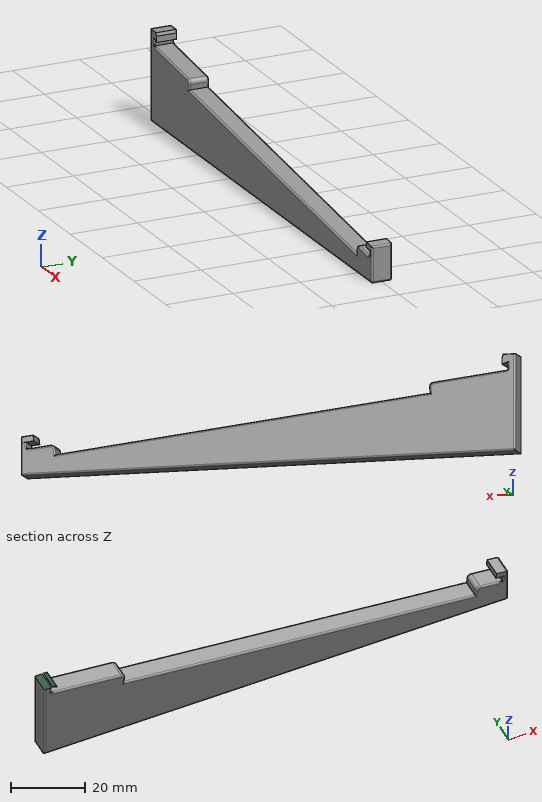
import cadquery as cq
import math

LENGTH = 138.61
WIDTH = 6.0
HEIGHT = 26.5

TILT = 6.34
FALL = math.tan(math.radians(TILT))

LEDGE_START_X = 2.1
LEDGE_START_Z = 22.2
LEDGE_END_X = 24.35

STEP_DEPTH = 2.8
STEP_ROUND = 1.25

PAD_START_X = 128.9
PAD_END_X = 137.0

TALL_HOOK_TOP_X = 3.45
TALL_HOOK_REACH = 3.8
TALL_HOOK_SHOULDER_Z = 25.6
TALL_HOOK_TIP_Z = 23.8
TALL_HOOK_ROOT_Z = 24.3

SHORT_HOOK_TIP_X = 135.2
SHORT_HOOK_TOP_Z = 10.9
SHORT_HOOK_THICKNESS = 1.6

NECK_ROUND = 0.8
END_ROUND = 0.5
SIDE_ROUND = 0.5

TOLERANCE = 0.01


def lean(z_change):
    """X shift along a face square to the slope for a given change in Z."""
    return z_change * FALL


def drop(x_change):
    """Loss of height along the slope for a given change in X."""
    return x_change * FALL


ledge_start = (LEDGE_START_X, LEDGE_START_Z)
ledge_end = (LEDGE_END_X, LEDGE_START_Z - drop(LEDGE_END_X - LEDGE_START_X))
slope_start = (ledge_end[0] - lean(STEP_DEPTH), ledge_end[1] - STEP_DEPTH)
slope_end = (PAD_START_X, slope_start[1] - drop(PAD_START_X - slope_start[0]))
pad_start = (PAD_START_X + lean(STEP_DEPTH), slope_end[1] + STEP_DEPTH)
pad_end = (PAD_END_X, pad_start[1] - drop(PAD_END_X - pad_start[0]))

tall_hook_root = (LEDGE_START_X + lean(TALL_HOOK_ROOT_Z - LEDGE_START_Z), TALL_HOOK_ROOT_Z)
short_hook_tip = (SHORT_HOOK_TIP_X, SHORT_HOOK_TOP_Z)
short_hook_lip = (
    SHORT_HOOK_TIP_X - lean(SHORT_HOOK_THICKNESS),
    SHORT_HOOK_TOP_Z - SHORT_HOOK_THICKNESS,
)
short_hook_root_x = PAD_END_X + lean(short_hook_lip[1] - pad_end[1])
short_hook_root = (short_hook_root_x, short_hook_lip[1] - drop(short_hook_root_x - short_hook_lip[0]))
end_top = (LENGTH, SHORT_HOOK_TOP_Z - drop(LENGTH - SHORT_HOOK_TIP_X))
end_bottom = (LENGTH, 0)


def round_corner(body, corner, radius):
    """Round the edge that runs along Y through one corner of the outline."""
    x, z = corner
    nearest = cq.selectors.NearestToPointSelector((x, 0, z))
    return body.edges("|Y").edges(nearest).fillet(radius)


def make_plate():
    """Plate of full width with the sharp side outline."""
    outline = [
        (0, 0),
        (0, HEIGHT),
        (TALL_HOOK_TOP_X, HEIGHT),
        (TALL_HOOK_REACH, TALL_HOOK_SHOULDER_Z),
        (TALL_HOOK_REACH, TALL_HOOK_TIP_Z),
        tall_hook_root,
        ledge_start,
        ledge_end,
        slope_start,
        slope_end,
        pad_start,
        pad_end,
        short_hook_root,
        short_hook_lip,
        short_hook_tip,
        end_top,
        end_bottom,
    ]
    return cq.Workplane("XZ").polyline(outline).close().extrude(WIDTH / 2, both=True)


def round_outline(body):
    """Round the outer step corners, the hook necks and the lower +X corner."""
    for corner in (ledge_end, pad_start):
        body = round_corner(body, corner, STEP_ROUND)
    for corner in (ledge_start, pad_end):
        body = round_corner(body, corner, NECK_ROUND)
    return round_corner(body, end_bottom, END_ROUND)


def is_hook_edge(edge):
    """True for side edges in the two hook zones; the upright end edges are not included."""
    centre = edge.Center()
    in_tall_zone = TOLERANCE < centre.x < TALL_HOOK_REACH + TOLERANCE
    in_short_zone = short_hook_lip[0] - TOLERANCE < centre.x < LENGTH - TOLERANCE
    on_tall_hook = in_tall_zone and centre.z > LEDGE_START_Z
    on_short_hook = in_short_zone and centre.z > pad_end[1]
    return on_tall_hook or on_short_hook


def round_sides(body):
    """Round the long edges of both side faces, leaving the hook tops and tips sharp."""
    side_edges = body.faces("<Y or >Y").edges().vals()
    rounded_edges = [edge for edge in side_edges if not is_hook_edge(edge)]
    return body.newObject(rounded_edges).fillet(SIDE_ROUND)


def round_end_top(body):
    """Round the upper +X corner straight across the full width."""
    envelope = round_corner(make_plate(), end_top, END_ROUND)
    return body.intersect(envelope)


result = round_end_top(round_sides(round_outline(make_plate())))